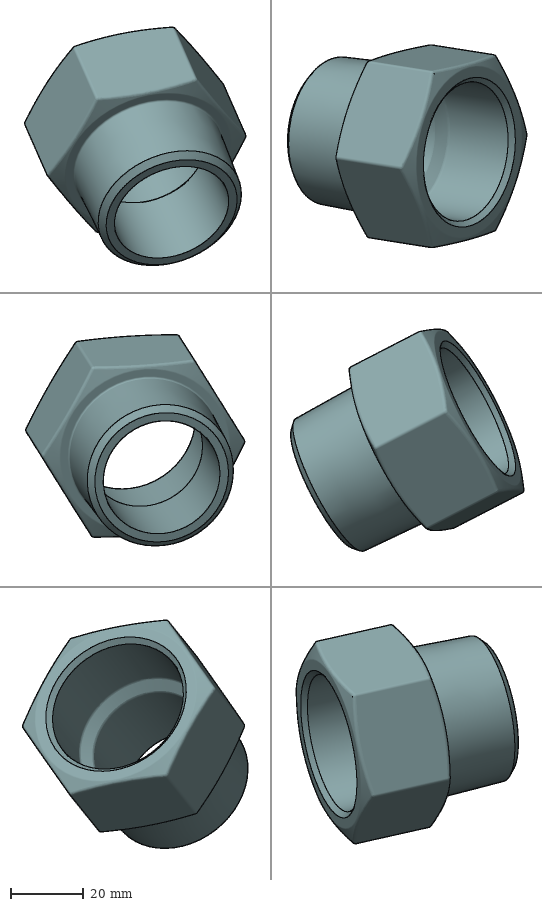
import cadquery as cq
import math

total_length = 49.0

hex_length = 26.5
hex_across_corners = 57.45
edge_radius = 1.0
hex_corner_loss = edge_radius * (1 / math.cos(math.pi / 6) - 1)
hex_corner_radius = hex_across_corners / 2 + hex_corner_loss

hex_face_radius = 24.0
hex_cone_angle = 20

spigot_root_radius = 21.3
spigot_taper = 1 / 32
spigot_end_chamfer = 1.8
root_fillet = 0.5

socket_radius = 19.45
socket_mouth_radius = 20.9
socket_depth = 22.0
bore_radius = 16.5
floor_cone_length = socket_radius - bore_radius
bore_edge_radius = 1.0


def revolve_about_x(profile):
    """Turn a closed profile drawn as (x, radius) into a solid about X.

    The seam falls on the middle of a hexagon flat, clear of the corners.
    """
    return profile.close().revolve(360, (0, 0, 0), (1, 0, 0))


def make_hexagon():
    """Hexagon with cone-trimmed corners and rounded edges."""
    prism = cq.Workplane("YZ").polygon(6, 2 * hex_corner_radius).extrude(hex_length)

    middle = hex_length / 2
    middle_radius = hex_face_radius + middle / math.tan(math.radians(hex_cone_angle))
    envelope = revolve_about_x(
        cq.Workplane("XZ")
        .lineTo(0, hex_face_radius)
        .lineTo(middle, middle_radius)
        .lineTo(hex_length, hex_face_radius)
        .lineTo(hex_length, 0)
    )
    rounded_envelope = envelope.faces("<X or >X").edges("%CIRCLE").fillet(edge_radius)
    trimmed = prism.intersect(rounded_envelope)
    return trimmed.edges("|X or %HYPERBOLA").fillet(edge_radius)


def make_spigot():
    """Tapered spigot with a rounded root and a chamfered free end."""
    taper_start = hex_length + root_fillet
    chamfer_start = total_length - spigot_end_chamfer
    tip_radius = spigot_root_radius - spigot_taper * (chamfer_start - taper_start)
    return revolve_about_x(
        cq.Workplane("XZ")
        .moveTo(hex_length, 0)
        .lineTo(hex_length, spigot_root_radius + root_fillet)
        .radiusArc((taper_start, spigot_root_radius), -root_fillet)
        .lineTo(chamfer_start, tip_radius)
        .lineTo(total_length, tip_radius - spigot_end_chamfer)
        .lineTo(total_length, 0)
    )


def make_bore():
    """Socket with a flared mouth, a rounded cone at its floor and a through bore."""
    mouth_depth = socket_mouth_radius - socket_radius
    cone_end = socket_depth + floor_cone_length
    bore = revolve_about_x(
        cq.Workplane("XZ")
        .lineTo(0, socket_mouth_radius)
        .lineTo(mouth_depth, socket_radius)
        .lineTo(socket_depth, socket_radius)
        .lineTo(cone_end, bore_radius)
        .lineTo(total_length, bore_radius)
        .lineTo(total_length, 0)
    )
    floor_cone = bore.faces("%CONE").faces(">X")
    return floor_cone.edges("%CIRCLE").fillet(bore_edge_radius)


result = make_hexagon().union(make_spigot()).cut(make_bore())